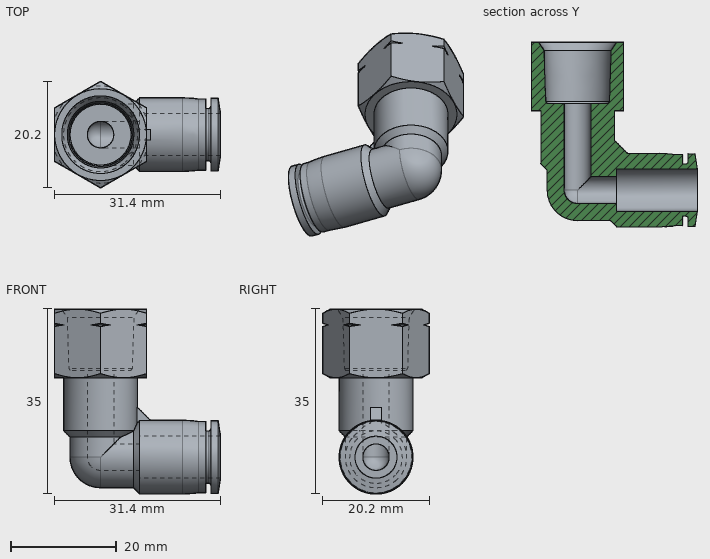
import math

import cadquery as cq


HEX_ACROSS_FLATS = 17.46
HEX_HEIGHT = 13.0
TOP_Z = 28.0
HEX_BOTTOM_Z = TOP_Z - HEX_HEIGHT
HEX_FLAT_RADIUS = HEX_ACROSS_FLATS / 2
HEX_CORNER_RADIUS = HEX_FLAT_RADIUS / math.cos(math.radians(30))
HEX_CHAMFER_INSET = 0.05
HEX_CHAMFER_RADIUS = HEX_FLAT_RADIUS - HEX_CHAMFER_INSET
HEX_CHAMFER_ANGLE = 30.0
CUT_MARGIN = 1.0

NOTCH_DEPTH_BELOW_TOP = 3.0
NOTCH_Z = TOP_Z - NOTCH_DEPTH_BELOW_TOP
NOTCH_ROOT_RADIUS = 9.2
NOTCH_HALF_ANGLE = 20.0

BODY_RADIUS = 7.0
ELBOW_RADIUS = 5.8
COLLAR_CHAMFER = BODY_RADIUS - ELBOW_RADIUS
VERTICAL_COLLAR_Z = 5.0
PORT_COLLAR_X = 6.2

RIB_THICKNESS = 2.0
RIB_LEG = 2.4

TAPER_START_X = 15.5
TAPER_END_X = 18.55
PORT_END_X = 19.93
PORT_END_RADIUS = 13.5 / 2
PORT_END_ROUND = 0.12

NECK_RADIUS = 9.94 / 2
NECK_FILLET = 0.38
FLANGE_RADIUS = 13.8 / 2
FLANGE_START_X = 20.83
FLANGE_CORNER_X = 22.24
FLANGE_EDGE_SETBACK = 0.1
TIP_X = 22.7
TUBE_RADIUS = 7.94 / 2

BORE_RADIUS = 5.0 / 2
SOCKET_BOTTOM_X = PORT_COLLAR_X + COLLAR_CHAMFER

MOUTH_RADIUS = 7.35
THREAD_TOP_RADIUS = 6.3
THREAD_BOTTOM_RADIUS = 6.0
FLOOR_RADIUS = 5.75
COUNTERSINK_DEPTH = 1.6
THREAD_RADIUS_SLOPE = 1 / 32


def make_hex_nut():
    """Hex prism with both ends chamfered and a V notch cut into every corner."""
    nut = (
        cq.Workplane("XY", origin=(0, 0, HEX_BOTTOM_Z))
        .polygon(6, 2 * HEX_CORNER_RADIUS)
        .extrude(HEX_HEIGHT)
        .rotate((0, 0, 0), (0, 0, 1), 30)
    )
    outer = HEX_CORNER_RADIUS + CUT_MARGIN
    chamfer_drop = (outer - HEX_CHAMFER_RADIUS) * math.tan(math.radians(HEX_CHAMFER_ANGLE))
    envelope = (
        cq.Workplane("XZ")
        .moveTo(0, HEX_BOTTOM_Z)
        .lineTo(HEX_CHAMFER_RADIUS, HEX_BOTTOM_Z)
        .lineTo(outer, HEX_BOTTOM_Z + chamfer_drop)
        .lineTo(outer, TOP_Z - chamfer_drop)
        .lineTo(HEX_CHAMFER_RADIUS, TOP_Z)
        .lineTo(0, TOP_Z)
        .close()
        .revolve(360, (0, 0), (0, 1))
    )
    notch_half_height = (outer - NOTCH_ROOT_RADIUS) * math.tan(math.radians(NOTCH_HALF_ANGLE))
    notch = (
        cq.Workplane("XZ")
        .moveTo(NOTCH_ROOT_RADIUS, NOTCH_Z)
        .lineTo(outer, NOTCH_Z - notch_half_height)
        .lineTo(outer, NOTCH_Z + notch_half_height)
        .close()
        .revolve(360, (0, 0), (0, 1))
    )
    return nut.intersect(envelope).cut(notch)


def make_vertical_leg():
    """Vertical elbow leg widening through a chamfer to the body under the nut."""
    return (
        cq.Workplane("XZ")
        .moveTo(0, 0)
        .lineTo(ELBOW_RADIUS, 0)
        .lineTo(ELBOW_RADIUS, VERTICAL_COLLAR_Z - COLLAR_CHAMFER)
        .lineTo(BODY_RADIUS, VERTICAL_COLLAR_Z)
        .lineTo(BODY_RADIUS, HEX_BOTTOM_Z)
        .lineTo(0, HEX_BOTTOM_Z)
        .close()
        .revolve(360, (0, 0), (0, 1))
    )


def make_port_leg():
    """Horizontal leg: elbow pipe, port body with a curved taper, and release ring."""
    face_length = math.hypot(TIP_X - FLANGE_CORNER_X, FLANGE_RADIUS - TUBE_RADIUS)
    face_fraction = FLANGE_EDGE_SETBACK / face_length
    face_start_x = FLANGE_CORNER_X + face_fraction * (TIP_X - FLANGE_CORNER_X)
    face_start_radius = FLANGE_RADIUS - face_fraction * (FLANGE_RADIUS - TUBE_RADIUS)
    return (
        cq.Workplane("XZ")
        .moveTo(0, 0)
        .lineTo(0, ELBOW_RADIUS)
        .lineTo(PORT_COLLAR_X, ELBOW_RADIUS)
        .lineTo(PORT_COLLAR_X + COLLAR_CHAMFER, BODY_RADIUS)
        .lineTo(TAPER_START_X, BODY_RADIUS)
        .tangentArcPoint((TAPER_END_X, PORT_END_RADIUS), relative=False)
        .lineTo(PORT_END_X - PORT_END_ROUND, PORT_END_RADIUS)
        .radiusArc((PORT_END_X, PORT_END_RADIUS - PORT_END_ROUND), PORT_END_ROUND)
        .lineTo(PORT_END_X, NECK_RADIUS)
        .lineTo(FLANGE_START_X - NECK_FILLET, NECK_RADIUS)
        .radiusArc((FLANGE_START_X, NECK_RADIUS + NECK_FILLET), -NECK_FILLET)
        .lineTo(FLANGE_START_X, FLANGE_RADIUS)
        .lineTo(FLANGE_CORNER_X - FLANGE_EDGE_SETBACK, FLANGE_RADIUS)
        .tangentArcPoint((face_start_x, face_start_radius), relative=False)
        .lineTo(TIP_X, TUBE_RADIUS)
        .lineTo(TIP_X, 0)
        .close()
        .revolve(360, (0, 0), (1, 0))
    )


def make_rib():
    """Triangular rib bridging the vertical body and the port body at 45 degrees."""
    far = BODY_RADIUS + RIB_LEG
    return (
        cq.Workplane("XZ")
        .moveTo(ELBOW_RADIUS, ELBOW_RADIUS)
        .lineTo(far, ELBOW_RADIUS)
        .lineTo(far, BODY_RADIUS)
        .lineTo(BODY_RADIUS, far)
        .lineTo(ELBOW_RADIUS, far)
        .close()
        .extrude(RIB_THICKNESS / 2, both=True)
    )


def make_thread_bore():
    """Countersink, tapered thread wall and conical run-out down to a flat floor."""
    thread_depth = (THREAD_TOP_RADIUS - THREAD_BOTTOM_RADIUS) / THREAD_RADIUS_SLOPE
    countersink_slope = COUNTERSINK_DEPTH / (MOUTH_RADIUS - THREAD_TOP_RADIUS)
    thread_top_z = TOP_Z - COUNTERSINK_DEPTH
    thread_bottom_z = thread_top_z - thread_depth
    floor_z = thread_bottom_z - (THREAD_BOTTOM_RADIUS - FLOOR_RADIUS) * countersink_slope
    return (
        cq.Workplane("XZ")
        .moveTo(0, TOP_Z)
        .lineTo(MOUTH_RADIUS, TOP_Z)
        .lineTo(THREAD_TOP_RADIUS, thread_top_z)
        .lineTo(THREAD_BOTTOM_RADIUS, thread_bottom_z)
        .lineTo(FLOOR_RADIUS, floor_z)
        .lineTo(0, floor_z)
        .close()
        .revolve(360, (0, 0), (0, 1))
    )


def make_passage():
    """Flow bore turning the corner with a spherical elbow, opening into the tube socket."""
    vertical = cq.Workplane("XY").circle(BORE_RADIUS).extrude(TOP_Z)
    horizontal = cq.Workplane("YZ").circle(BORE_RADIUS).extrude(TIP_X)
    socket = (
        cq.Workplane("YZ", origin=(SOCKET_BOTTOM_X, 0, 0))
        .circle(TUBE_RADIUS)
        .extrude(TIP_X - SOCKET_BOTTOM_X)
    )
    corner = cq.Workplane("XY").sphere(BORE_RADIUS)
    return vertical.union(horizontal).union(corner).union(socket)


elbow_corner = cq.Workplane("XY").sphere(ELBOW_RADIUS)
fitting = make_vertical_leg().union(elbow_corner).union(make_port_leg())
fitting = fitting.union(make_rib()).union(make_hex_nut())
result = fitting.cut(make_thread_bore()).cut(make_passage())